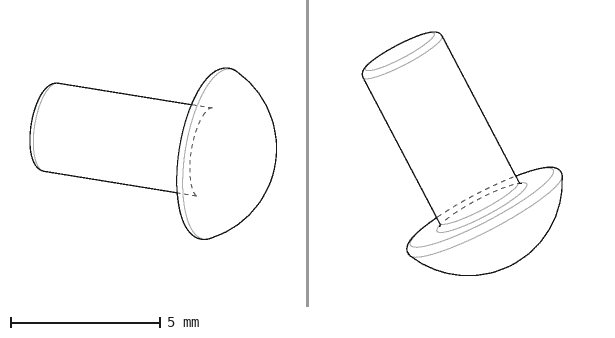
import cadquery as cq

SHANK_DIAMETER = 3.0
SHANK_LENGTH = 6.0
HEAD_DIAMETER = 6.0
HEAD_HEIGHT = 2.16
EDGE_RADIUS = 0.2

SHANK_RADIUS = SHANK_DIAMETER / 2
HEAD_RADIUS = HEAD_DIAMETER / 2

DOME_RADIUS = (HEAD_RADIUS**2 + HEAD_HEIGHT**2) / (2 * HEAD_HEIGHT)


def make_shank():
    """Plain cylinder running up to the flat underside of the head."""
    return cq.Workplane("YZ").circle(SHANK_RADIUS).extrude(SHANK_LENGTH)


def make_head():
    """Spherical cap, revolved about the X axis."""
    apex_x = SHANK_LENGTH + HEAD_HEIGHT
    dome_center_x = apex_x - DOME_RADIUS
    mid_offset = DOME_RADIUS / 2**0.5
    return (
        cq.Workplane("XY")
        .moveTo(SHANK_LENGTH, 0)
        .lineTo(SHANK_LENGTH, HEAD_RADIUS)
        .threePointArc((dome_center_x + mid_offset, mid_offset), (apex_x, 0))
        .close()
        .revolve(360, (0, 0, 0), (1, 0, 0))
    )


def round_edges(body):
    """Round the shank end, then the root and rim of the head underside."""
    body = body.faces("<X").edges().fillet(EDGE_RADIUS)
    return body.faces("%PLANE").faces(">X").edges("%CIRCLE").fillet(EDGE_RADIUS)


result = round_edges(make_shank().union(make_head()))